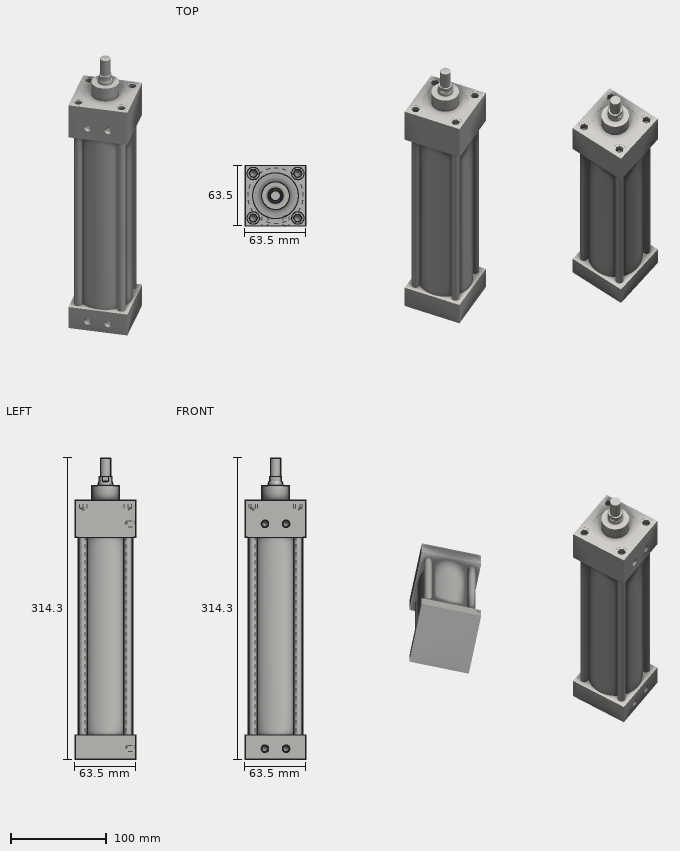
import cadquery as cq
import math

total_height = 314.3
block_side = 63.5
cap_height = 25.5
head_base = 231.5
head_top = 270.5
boss_top = 285.7

barrel_diameter = 57.8
tie_rod_diameter = 8.5
corner_offset = 23.3

seat_diameter = 47.8
seat_depth = 0.3
boss_diameter = 29.0

rod_diameter = 15.7
rod_shoulder_z = 287.3
neck_diameter = 13.8
neck_base = 290.5
neck_top = 295.0
wrench_flat_width = 12.3
stud_diameter = 11.0
stud_chamfer = 0.3

hole_diameter = 6.3
hole_mouth_diameter = 8.0
hole_depth = 9.5
drill_point_angle = 118.0
side_hole_offset = 11.0
head_hole_z = 245.8
cap_hole_z = 11.0

spotface_diameter = 13.0
spotface_depth = 0.3
socket_across_flats = 8.0
hexagon_sides = 6
socket_depth = 8.0

corners = [(x, y) for x in (-corner_offset, corner_offset) for y in (-corner_offset, corner_offset)]


def cylinder(diameter, z_low, z_high):
    return cq.Workplane("XY").workplane(offset=z_low).circle(diameter / 2).extrude(z_high - z_low)


def block(z_low, z_high):
    height = z_high - z_low
    return cq.Workplane("XY").workplane(offset=z_low).rect(block_side, block_side).extrude(height)


def tapped_hole():
    """Blind drilled hole with a countersunk mouth at the origin, running down along -Z."""
    radius = hole_diameter / 2
    mouth_radius = hole_mouth_diameter / 2
    countersink = mouth_radius - radius
    point = radius / math.tan(math.radians(drill_point_angle / 2))
    return (
        cq.Workplane("XZ")
        .moveTo(0, 0)
        .lineTo(mouth_radius, 0)
        .lineTo(radius, -countersink)
        .lineTo(radius, -hole_depth)
        .lineTo(0, -hole_depth - point)
        .close()
        .revolve(360, (0, 0, 0), (0, 1, 0))
    )


def cut_side_holes(body, z):
    """Cut a pair of tapped holes into the -Y side of an end block."""
    for x in (-side_hole_offset, side_hole_offset):
        hole = tapped_hole().rotate((0, 0, 0), (1, 0, 0), 90).translate((x, -block_side / 2, z))
        body = body.cut(hole)
    return body


def make_cap():
    """Plain end block at the bottom with two tapped holes on its -Y side."""
    return cut_side_holes(block(0, cap_height), cap_hole_z)


def make_barrel():
    """Barrel with the four tie rods merged into its wall, between the two end blocks."""
    barrel = cylinder(barrel_diameter, cap_height, head_base)
    for x, y in corners:
        barrel = barrel.union(cylinder(tie_rod_diameter, cap_height, head_base).translate((x, y, 0)))
    return barrel


def hex_socket():
    """Blind hexagonal socket with a conical floor, with its mouth at the origin, running down along -Z."""
    across_corners = socket_across_flats / math.cos(math.pi / hexagon_sides)
    radius = socket_across_flats / 2
    point = radius / math.tan(math.radians(drill_point_angle / 2))
    hexagon = cq.Workplane("XY").polygon(hexagon_sides, across_corners).extrude(-socket_depth)
    floor = cq.Solid.makeCone(0, radius, point, cq.Vector(0, 0, -socket_depth - point))
    return hexagon.union(cq.Workplane(floor))


def make_head():
    """Upper end block with side holes, corner hex sockets and the round boss on top."""
    head = cut_side_holes(block(head_base, head_top), head_hole_z)
    spotface_floor = head_top - spotface_depth
    for x, y in corners:
        head = head.cut(cylinder(spotface_diameter, spotface_floor, head_top).translate((x, y, 0)))
        head = head.cut(hex_socket().translate((x, y, spotface_floor)))
    seat_floor = head_top - seat_depth
    head = head.cut(cylinder(seat_diameter, seat_floor, head_top))
    return head.union(cylinder(boss_diameter, seat_floor, boss_top))


def wrench_flat_cutter():
    """Cutter for the flat on the +X side; below its foot it slopes down and outward at 45 degrees."""
    flat_x = wrench_flat_width / 2
    outer_x = rod_diameter / 2
    slope_drop = outer_x - flat_x
    return (
        cq.Workplane("XZ")
        .moveTo(flat_x, neck_top)
        .lineTo(flat_x, neck_base)
        .lineTo(outer_x, neck_base - slope_drop)
        .lineTo(outer_x, neck_top)
        .close()
        .extrude(outer_x, both=True)
    )


def make_piston_rod():
    """Turned rod end standing on the boss: collar, cone, neck with two wrench flats, and stud."""
    rod_radius = rod_diameter / 2
    neck_radius = neck_diameter / 2
    stud_radius = stud_diameter / 2
    rod = (
        cq.Workplane("XZ")
        .moveTo(0, boss_top)
        .lineTo(rod_radius, boss_top)
        .lineTo(rod_radius, rod_shoulder_z)
        .lineTo(neck_radius, neck_base)
        .lineTo(neck_radius, neck_top)
        .lineTo(stud_radius, neck_top)
        .lineTo(stud_radius, total_height - stud_chamfer)
        .lineTo(stud_radius - stud_chamfer, total_height)
        .lineTo(0, total_height)
        .close()
        .revolve(360, (0, 0, 0), (0, 1, 0))
    )
    cutter = wrench_flat_cutter()
    return rod.cut(cutter).cut(cutter.mirror("YZ"))


cap = make_cap()
barrel = make_barrel()
head = make_head()
piston_rod = make_piston_rod()

result = cq.Compound.makeCompound([cap.val(), barrel.val(), head.val(), piston_rod.val()])